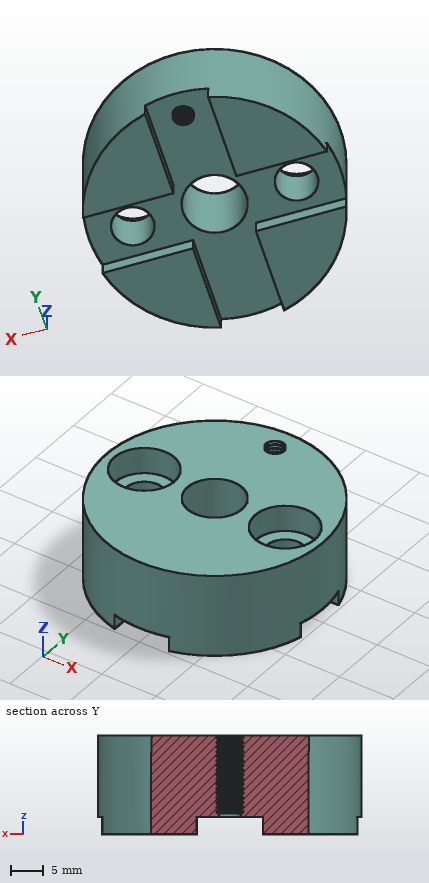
import cadquery as cq
import math

body_diameter = 40.0
body_height = 15.0

channel_width = 10.0
channel_depth = 2.6

bore_diameter = 10.0
screw_offset = 13.0
screw_diameter = 6.6
counterbore_diameter = 11.0
counterbore_depth = 4.7

thread_offset = 16.0
thread_minor_diameter = 3.25
thread_major_diameter = 4.0
thread_depth = (thread_major_diameter - thread_minor_diameter) / 2
thread_pitch = thread_depth / (5 / 8 * math.cos(math.radians(30)))
thread_crest = thread_pitch / 4
thread_root = thread_pitch / 8


def vertical_hole(x, y, diameter, depth):
    """Cylinder that cuts down from the top face."""
    return (
        cq.Workplane("XY", origin=(x, y, body_height))
        .circle(diameter / 2)
        .extrude(-depth)
    )


def underside_channel(length_x, length_y):
    """Rectangular channel cut up from the bottom face."""
    return cq.Workplane("XY").box(length_x, length_y, channel_depth, centered=(True, True, False))


def threaded_hole():
    """Revolved profile: a through hole with ring grooves down to the channel ceiling."""
    minor_radius = thread_minor_diameter / 2
    major_radius = minor_radius + thread_depth
    flank_height = (thread_pitch - thread_crest - thread_root) / 2
    groove_count = int((body_height - channel_depth) / thread_pitch)

    profile = [(0, body_height), (minor_radius, body_height)]
    for i in range(groove_count):
        groove_top = body_height - i * thread_pitch - thread_crest / 2
        root_top = groove_top - flank_height
        root_bottom = root_top - thread_root
        profile += [
            (minor_radius, groove_top),
            (major_radius, root_top),
            (major_radius, root_bottom),
            (minor_radius, root_bottom - flank_height),
        ]
    profile += [(minor_radius, 0), (0, 0)]
    return (
        cq.Workplane("XZ")
        .polyline(profile)
        .close()
        .revolve(360, (0, 0), (0, 1))
        .translate((0, thread_offset, 0))
    )


result = cq.Workplane("XY").circle(body_diameter / 2).extrude(body_height)

result = result.cut(underside_channel(body_diameter, channel_width))
result = result.cut(underside_channel(channel_width, body_diameter))

result = result.cut(vertical_hole(0, 0, bore_diameter, body_height))
for side in (-1, 1):
    screw_x = side * screw_offset
    result = result.cut(vertical_hole(screw_x, 0, screw_diameter, body_height))
    result = result.cut(vertical_hole(screw_x, 0, counterbore_diameter, counterbore_depth))

result = result.cut(threaded_hole())